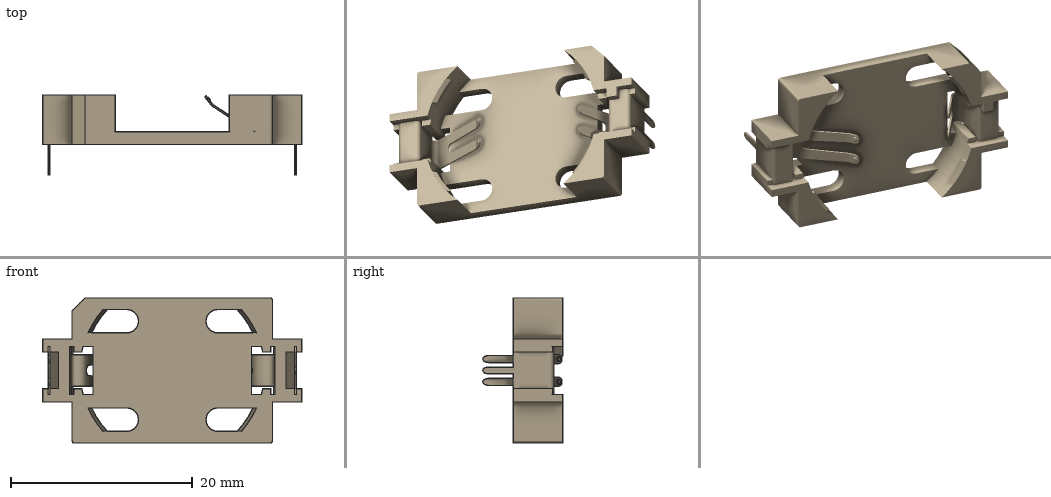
import cadquery as cq
import math


total_length = 28.5
body_length = 22.05
body_width = 16.0
height = 5.47
floor_thickness = 1.42
wing_width = 6.95
key_chamfer = 1.45
corner_radius = 0.25

cavity_radius = 10.15
lip_depth = 0.37
lip_crest_y = 5.07

slot_width = 2.55
slot_offset_z = 5.42
slot_inner_x = 3.73

contact_width = 5.25
channel_width = 4.02
window_inner_x = 8.72
rib_outer_x = 10.85
wall_inner_x = 11.31
wall_outer_x = 12.5
wall_top_y = 4.33
end_recess_depth = 4.05
hold_down_inner_z = 1.57

sheet = 0.2
foot_x = 13.57
fold_radius = 0.35
arm_width = 3.5
wide_leg_length = 1.7
arm_base_y = 0.3
fork_root_gap = 1.1
fork_tip_gap = 1.45
pin_offset_z = 1.25
overall_height = 8.8
pin_tip_y = height - overall_height
tip_bend = 19
tip_straight = 1.0
dimple_offset_z = 1.25
dimple_setback = 0.45
dimple_radius = 0.28
dimple_height = 0.09
dimple_taper = 45
through = 4 * height

HALF_BODY = body_length / 2
HALF_TOTAL = total_length / 2


def block(x_range, y_range, z_range):
    """Box between the given limits."""
    lows, highs = zip(x_range, y_range, z_range)
    sizes = [high - low for low, high in zip(lows, highs)]
    return cq.Workplane("XY").box(*sizes, centered=False).translate(lows)


def centred_block(x_range, y_range, width):
    """Box between the given X and Y limits, centred on Z = 0."""
    return block(x_range, y_range, (-width / 2, width / 2))


def both_ends(shape):
    """The shape together with its mirror image at the other end of the holder."""
    return shape.union(shape.mirror("YZ"))


def cavity_cylinder():
    return cq.Workplane("XZ").circle(cavity_radius).extrude(through, both=True)


def housing_blank():
    body = centred_block((-HALF_BODY, HALF_BODY), (0, height), body_width)
    body = body.edges("|Y and <X and >Z").chamfer(key_chamfer)
    body = body.edges("|Y and (>X or <Z)").fillet(corner_radius)
    wings = centred_block((-HALF_TOTAL, HALF_TOTAL), (0, height), wing_width)
    return body.union(wings)


def cell_cavity():
    return cavity_cylinder().intersect(
        centred_block((-HALF_BODY, HALF_BODY), (floor_thickness, height), body_width)
    )


def snap_lips():
    """Four V-shaped ridges near the mouth, one above each drain slot."""
    ridge = (
        cq.Workplane("XY")
        .moveTo(cavity_radius, lip_crest_y - lip_depth)
        .lineTo(cavity_radius - lip_depth, lip_crest_y)
        .lineTo(cavity_radius, lip_crest_y + lip_depth)
        .close()
        .revolve(360, (0, 0, 0), (0, 1, 0))
    )
    band = centred_block((-HALF_BODY, HALF_BODY), (0, height), slot_width)
    upper_band = band.translate((0, 0, slot_offset_z))
    return ridge.intersect(upper_band.union(upper_band.mirror("XY")))


def drain_slots():
    """Four floor slots, rounded toward the middle and ended by the cavity radius."""
    round_x = slot_inner_x + slot_width / 2
    slot = centred_block((round_x, HALF_BODY), (0, floor_thickness), slot_width)
    round_end = cq.Workplane("XZ").center(round_x, 0).circle(slot_width / 2).extrude(-floor_thickness)
    slot = slot.union(round_end).translate((0, 0, slot_offset_z))
    slots = both_ends(slot.union(slot.mirror("XY")))
    return slots.intersect(cavity_cylinder())


def contact_passage():
    """Openings at the +X end for one contact."""
    full = (0, height)
    window = centred_block((window_inner_x, HALF_BODY), full, contact_width).intersect(cavity_cylinder())
    channel = centred_block((window_inner_x, rib_outer_x), full, channel_width)
    leg_slot = centred_block((rib_outer_x, wall_inner_x), full, contact_width)
    end_recess = centred_block((wall_outer_x, HALF_TOTAL), (0, end_recess_depth), channel_width)
    top_recess = centred_block((window_inner_x, HALF_TOTAL), (wall_top_y, height), contact_width)
    end_opening = centred_block((foot_x, HALF_TOTAL), full, channel_width)
    passage = window.union(channel).union(leg_slot)
    return passage.union(end_recess).union(end_opening).union(top_recess)


def hold_down():
    return block(
        (-wall_outer_x, -wall_inner_x),
        (wall_top_y + sheet, height),
        (hold_down_inner_z, wing_width / 2),
    )


def make_housing(contacts):
    housing = housing_blank().cut(cell_cavity()).cut(drain_slots())
    housing = housing.union(snap_lips()).cut(both_ends(contact_passage())).union(hold_down())
    for contact in contacts:
        housing = housing.cut(contact)
    return housing


def heading_vector(angle):
    return math.cos(math.radians(angle)), math.sin(math.radians(angle))


def bent_strip(start, heading, moves, width):
    """Sheet strip that follows straights ("go", length) and bends ("turn", angle, radius).

    Positive angles turn left. Returns the solid, its end point and its end heading.
    """
    x, y = start
    left_side = []
    right_side = []

    def edge_points(px, py, angle):
        dx, dy = heading_vector(angle)
        offset = sheet / 2
        return (px - offset * dy, py + offset * dx), (px + offset * dy, py - offset * dx)

    first_left, first_right = edge_points(x, y, heading)
    for move in moves:
        middle = None
        if move[0] == "go":
            dx, dy = heading_vector(heading)
            x, y = x + move[1] * dx, y + move[1] * dy
        else:
            angle, radius = move[1:]
            side = math.copysign(1, angle)
            dx, dy = heading_vector(heading)
            centre_x, centre_y = x - side * radius * dy, y + side * radius * dx
            for part in (angle / 2, angle):
                dx, dy = heading_vector(heading + part)
                x, y = centre_x + side * radius * dy, centre_y - side * radius * dx
                if part != angle:
                    middle = edge_points(x, y, heading + part)
            heading += angle
        end = edge_points(x, y, heading)
        left_side.append((middle and middle[0], end[0]))
        right_side.append((middle and middle[1], end[1]))

    def add(wire, middle, end):
        return wire.threePointArc(middle, end) if middle else wire.lineTo(*end)

    wire = cq.Workplane("XY").moveTo(*first_left)
    for middle, end in left_side:
        wire = add(wire, middle, end)
    wire = wire.lineTo(*right_side[-1][1])
    right_ends = [first_right] + [end for _, end in right_side]
    for index in reversed(range(len(right_side))):
        wire = add(wire, right_side[index][0], right_ends[index])
    solid = wire.close().extrude(width / 2, both=True)
    return solid, (x, y), heading


def solder_pin(centre_z, width, tip_length):
    """Flat pin with a half-elliptical tip."""
    half = width / 2
    tip_base = pin_tip_y + tip_length
    outline = (
        cq.Workplane("YZ", origin=(foot_x, 0, centre_z))
        .moveTo(0, -half)
        .lineTo(tip_base, -half)
        .ellipseArc(tip_length, half, 90, 270, startAtCurrent=True, sense=-1)
        .lineTo(0, half)
        .close()
    )
    return outline.extrude(sheet / 2, both=True)


def fork_outline(plane, root, length):
    """Two round-tipped fingers seen square to the arm; root is where the gap starts."""
    half_arm = arm_width / 2
    tip_radius = (arm_width - fork_tip_gap) / 4
    finger_z = half_arm - tip_radius
    tip_base = length - tip_radius
    flat = cq.Workplane(plane)
    blank = flat.center(tip_base / 2, 0).rect(tip_base, arm_width).extrude(through, both=True)
    fingers = flat.pushPoints([(tip_base, finger_z), (tip_base, -finger_z)]).circle(tip_radius)
    fork = blank.union(fingers.extrude(through, both=True))
    root_half = fork_root_gap / 2
    tip_half = fork_tip_gap / 2
    gap = (
        flat.moveTo(tip_base, -tip_half)
        .lineTo(root + root_half, -root_half)
        .threePointArc((root, 0), (root + root_half, root_half))
        .lineTo(tip_base, tip_half)
        .close()
    )
    return fork.cut(gap.extrude(through, both=True))


def make_contact(pins, leg_tilt, bend_radius, slope, straight, root, tip_moves=()):
    """Foot plate, fold over the wall, leg down the wall and forked spring arm.

    leg_tilt leans the leg away from the wall; slope is the rise of the arm.
    """
    bend_centre = bend_radius - sheet / 2
    leg_x = wall_inner_x - sheet / 2
    bridge_y = wall_top_y + sheet / 2
    tilt_sine = math.sin(math.radians(leg_tilt))
    leg_top_y = bridge_y - fold_radius * (1 - tilt_sine)
    leg_end_y = arm_base_y + sheet / 2 + bend_centre * (1 - tilt_sine)
    leg_length = (leg_top_y - leg_end_y) / math.cos(math.radians(leg_tilt))
    foot_moves = [
        ("go", bridge_y - fold_radius),
        ("turn", 90, fold_radius),
        ("go", foot_x - leg_x - 2 * fold_radius),
        ("turn", 90 - leg_tilt, fold_radius),
        ("go", wide_leg_length),
    ]
    contact, shoulder, heading = bent_strip((foot_x, 0), 90, foot_moves, contact_width)

    bend_moves = [("go", leg_length - wide_leg_length), ("turn", leg_tilt - 90 - slope, bend_centre)]
    bend, arm_start, heading = bent_strip(shoulder, heading, bend_moves, arm_width)
    arm, tip, tip_heading = bent_strip(arm_start, heading, [("go", straight), *tip_moves], arm_width)

    along = heading_vector(heading)
    plane = cq.Plane(
        origin=(*arm_start, 0),
        xDir=(*along, 0),
        normal=(along[1], -along[0], 0),
    )
    length = (tip[0] - arm_start[0]) * along[0] + (tip[1] - arm_start[1]) * along[1]
    arm = arm.intersect(fork_outline(plane, root, length))
    contact = contact.union(bend).union(arm)
    for pin in pins:
        contact = contact.union(pin)
    return contact, tip, tip_heading


def make_positive_contact():
    pins = [solder_pin(centre_z=side * pin_offset_z, width=0.83, tip_length=0.77) for side in (-1, 1)]
    contact, _, _ = make_contact(
        pins, leg_tilt=7, bend_radius=0.77, slope=60, straight=4.0, root=0.15
    )
    return contact.mirror("YZ")


def dimple_plane(tip, tip_heading, centre_z):
    """Plane in the middle of the sheet at a dimple, facing the cell mouth side."""
    dx, dy = heading_vector(tip_heading)
    origin = (tip[0] - dimple_setback * dx, tip[1] - dimple_setback * dy, centre_z)
    return cq.Plane(origin=origin, xDir=(dx, dy, 0), normal=(dy, -dx, 0))


def dimple_cone(plane, base_offset):
    """Flat-topped cone that rises from the given offset above the plane."""
    base = cq.Workplane(plane).workplane(offset=base_offset).circle(dimple_radius)
    return base.extrude(dimple_height, taper=dimple_taper)


def make_negative_contact():
    pins = [solder_pin(centre_z=0, width=0.75, tip_length=0.57)]
    tip_moves = [("turn", -tip_bend, 1.42), ("go", tip_straight)]
    contact, tip, tip_heading = make_contact(
        pins, leg_tilt=0, bend_radius=0.68, slope=33, straight=6.8, root=1.7, tip_moves=tip_moves
    )
    for side in (-1, 1):
        plane = dimple_plane(tip, tip_heading, side * dimple_offset_z)
        contact = contact.union(dimple_cone(plane, sheet / 2))
        contact = contact.cut(dimple_cone(plane, -sheet / 2))
    return contact


positive_contact = make_positive_contact()
negative_contact = make_negative_contact()
housing = make_housing([positive_contact, negative_contact])
result = cq.Compound.makeCompound([housing.val(), positive_contact.val(), negative_contact.val()])